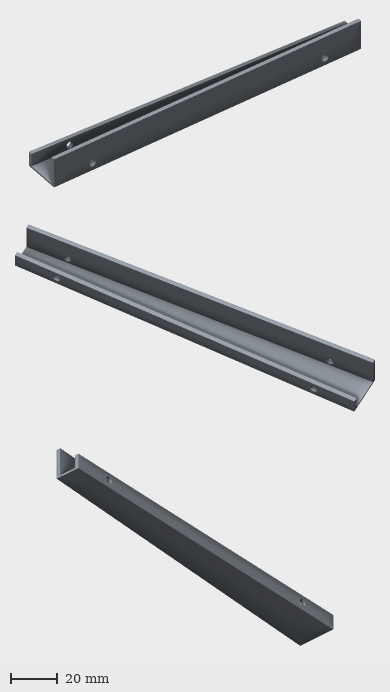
import cadquery as cq
import math

length = 165.0
wide_end = 19.0
narrow_end = 12.4
tall_wall_height = 15.0
low_wall_height = tall_wall_height / 2

wall = 2.0
floor = 1.0

hole_diameter = 3.5
hole_end_distance = 20.0
hole_height = low_wall_height / 2

taper_angle = math.atan((wide_end - narrow_end) / length)
slant_wall = wall / math.cos(taper_angle)


def tapered_plate(left_x, right_inset, bottom, top):
    """Plate with a straight left side and a right side parallel to the taper."""
    return (
        cq.Workplane("XY", origin=(0, 0, bottom))
        .moveTo(left_x, 0)
        .lineTo(wide_end - right_inset, 0)
        .lineTo(narrow_end - right_inset, length)
        .lineTo(left_x, length)
        .close()
        .extrude(top - bottom)
    )


def screw_hole(y):
    """Cutter square to the slanted wall, entering the low wall at the given Y."""
    direction = cq.Vector(math.cos(taper_angle), math.sin(taper_angle), 0)
    entry = cq.Vector(0, y, hole_height)
    start = entry - direction * wall
    cutter_length = wide_end + 2 * wall
    return cq.Solid.makeCylinder(hole_diameter / 2, cutter_length, start, direction)


channel = tapered_plate(0, 0, 0, tall_wall_height)
channel = channel.cut(tapered_plate(wall, slant_wall, floor, tall_wall_height))

wall_trim = cq.Workplane("XY").box(wall, length, tall_wall_height - low_wall_height, centered=False)
channel = channel.cut(wall_trim.translate((0, 0, low_wall_height)))

for hole_y in (hole_end_distance, length - hole_end_distance):
    channel = channel.cut(cq.Workplane(obj=screw_hole(hole_y)))

result = channel